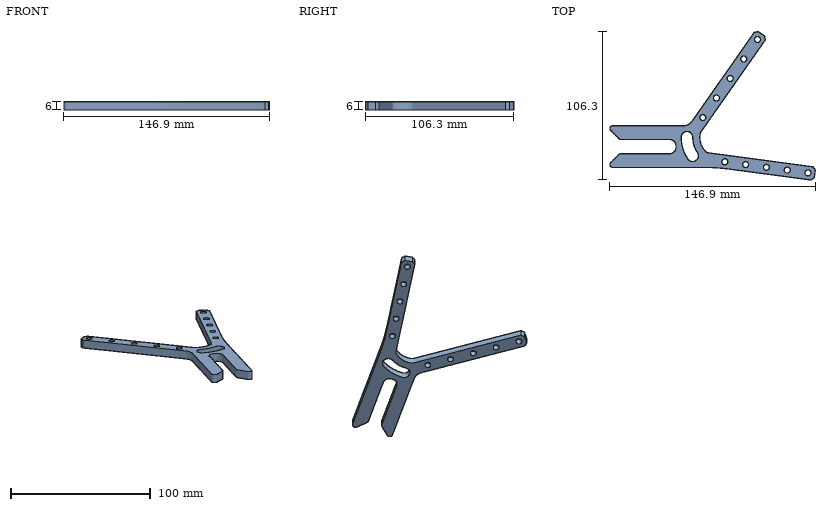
import cadquery as cq
import math

overall_length = 146.9
thickness = 6.0
handle_half_width = 15.0
slot_half_width = 5.0
slot_end_x = 47.2
slot_corner_radius = 4.4
mouth_chamfer = 7.0
tip_radius = 2.0
mouth_radius = 2.0

arm_width = 9.7
hole_diameter = 4.1
holes_per_arm = 5
arm_end_margin = 5.0
arm_end_chamfer = 2.0
upper_hole = (66.4, 20.7)
upper_angle = 55.0
upper_row_length = 68.2
lower_hole = (82.1, -10.9)
lower_angle = -7.6

lower_slope = math.radians(-lower_angle)
lower_end_flat = arm_width / 2 - arm_end_chamfer
lower_reach = overall_length - lower_hole[0] - lower_end_flat * math.sin(lower_slope)
lower_row_length = lower_reach / math.cos(lower_slope) - arm_end_margin

arc_center = (78.2, 6.5)
hollow_radius = 13.8
curved_slot_radius = 23.0
curved_slot_width = 8.1
curved_slot_start = 179.5
curved_slot_end = 214.5

upper_blend_radius = 7.5
lower_blend_radius = 138.1
hollow_blend_radius = 2.0


def offset_point(origin, angle, along, across=0.0):
    """Point reached by moving along a direction and then to its left."""
    c = math.cos(math.radians(angle))
    s = math.sin(math.radians(angle))
    return (origin[0] + along * c - across * s, origin[1] + along * s + across * c)


def edge_at_height(hole, angle, across, y):
    """Point at height y on the arm edge lying at the given side offset."""
    base = offset_point(hole, angle, 0, across)
    return (base[0] + (y - base[1]) / math.tan(math.radians(angle)), y)


def edge_on_hollow(hole, angle, across):
    """Point where an arm edge leaves the hollow, on its outward side."""
    base = offset_point(hole, angle, 0, across)
    dx = base[0] - arc_center[0]
    dy = base[1] - arc_center[1]
    c = math.cos(math.radians(angle))
    s = math.sin(math.radians(angle))
    distance = dy * c - dx * s
    half_chord = math.sqrt(hollow_radius**2 - distance**2)
    return offset_point(base, angle, -(dx * c + dy * s) - half_chord)


def arm_end(hole, angle, row_length):
    """Chamfered arm end, from its right edge round to its left edge."""
    end = row_length + arm_end_margin
    half = arm_width / 2
    shoulder = end - arm_end_chamfer
    flat = half - arm_end_chamfer
    corners = [(shoulder, -half), (end, -flat), (end, flat), (shoulder, half)]
    return [offset_point(hole, angle, along, across) for along, across in corners]


def vertical_edges_at(body, points):
    """Vertical edges of the plate standing on the given outline points."""
    found = body.edges(cq.selectors.NearestToPointSelector((*points[0], thickness / 2)))
    for x, y in points[1:]:
        found = found.add(body.edges(cq.selectors.NearestToPointSelector((x, y, thickness / 2))))
    return found


half_arm = arm_width / 2
lower_bend = edge_at_height(lower_hole, lower_angle, -half_arm, -handle_half_width)
upper_bend = edge_at_height(upper_hole, upper_angle, half_arm, handle_half_width)
hollow_lower = edge_on_hollow(lower_hole, lower_angle, half_arm)
hollow_upper = edge_on_hollow(upper_hole, upper_angle, -half_arm)
hollow_middle = (arc_center[0] - hollow_radius, arc_center[1])
tip_y = slot_half_width + mouth_chamfer

outline = cq.Workplane("XY").moveTo(0, -handle_half_width).lineTo(*lower_bend)
for point in arm_end(lower_hole, lower_angle, lower_row_length):
    outline = outline.lineTo(*point)
outline = outline.lineTo(*hollow_lower).threePointArc(hollow_middle, hollow_upper)
for point in arm_end(upper_hole, upper_angle, upper_row_length):
    outline = outline.lineTo(*point)
outline = outline.lineTo(*upper_bend).lineTo(0, handle_half_width)

outline = (
    outline.lineTo(0, tip_y)
    .lineTo(mouth_chamfer, slot_half_width)
    .lineTo(slot_end_x, slot_half_width)
    .lineTo(slot_end_x, -slot_half_width)
    .lineTo(mouth_chamfer, -slot_half_width)
    .lineTo(0, -tip_y)
    .close()
)
plate = outline.extrude(thickness)

blends = [
    (lower_blend_radius, [lower_bend]),
    (upper_blend_radius, [upper_bend]),
    (hollow_blend_radius, [hollow_lower, hollow_upper]),
    (slot_corner_radius, [(slot_end_x, slot_half_width), (slot_end_x, -slot_half_width)]),
    (tip_radius, [(0, handle_half_width), (0, -handle_half_width), (0, tip_y), (0, -tip_y)]),
    (mouth_radius, [(mouth_chamfer, slot_half_width), (mouth_chamfer, -slot_half_width)]),
]
for radius, corners in blends:
    plate = vertical_edges_at(plate, corners).fillet(radius)

hole_points = []
for hole, angle, row_length in [
    (upper_hole, upper_angle, upper_row_length),
    (lower_hole, lower_angle, lower_row_length),
]:
    pitch = row_length / (holes_per_arm - 1)
    hole_points += [offset_point(hole, angle, i * pitch) for i in range(holes_per_arm)]
arm_holes = cq.Workplane("XY").pushPoints(hole_points).circle(hole_diameter / 2).extrude(thickness)

inner_radius = curved_slot_radius - curved_slot_width / 2
outer_radius = curved_slot_radius + curved_slot_width / 2
middle_angle = (curved_slot_start + curved_slot_end) / 2
cap_radius = curved_slot_width / 2
start_cap = offset_point(
    offset_point(arc_center, curved_slot_start, curved_slot_radius), curved_slot_start - 90, cap_radius
)
end_cap = offset_point(
    offset_point(arc_center, curved_slot_end, curved_slot_radius), curved_slot_end + 90, cap_radius
)
curved_slot = (
    cq.Workplane("XY")
    .moveTo(*offset_point(arc_center, curved_slot_start, inner_radius))
    .threePointArc(
        offset_point(arc_center, middle_angle, inner_radius),
        offset_point(arc_center, curved_slot_end, inner_radius),
    )
    .threePointArc(end_cap, offset_point(arc_center, curved_slot_end, outer_radius))
    .threePointArc(
        offset_point(arc_center, middle_angle, outer_radius),
        offset_point(arc_center, curved_slot_start, outer_radius),
    )
    .threePointArc(start_cap, offset_point(arc_center, curved_slot_start, inner_radius))
    .close()
    .extrude(thickness)
)

result = plate.cut(arm_holes).cut(curved_slot)